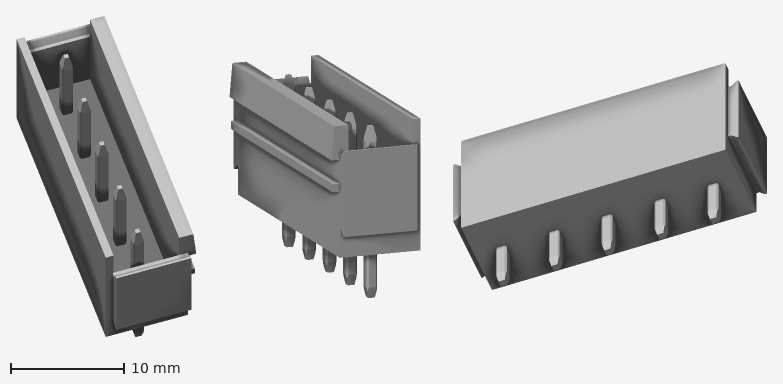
import cadquery as cq

overall_length = 27.0
overall_depth = 8.42
housing_height = 12.02
overall_height = 16.5

flange_thickness = 1.0
channel_length = overall_length - 2 * flange_thickness
front_wall = 0.73
back_wall = 0.8
back_face_y = 7.65
back_wall_inner_y = back_face_y - back_wall
floor_thickness = 3.0

lip_bottom_z = 8.95
lip_top_y = 8.15

rib_bottom_z = 6.02
rib_height = 0.73
rib_depth = 0.65

flange_front_y = 0.65
flange_bottom_z = 2.1
flange_top_z = 9.9
flange_edge = 0.2
flange_bevel = 0.49

pin_count = 5
pin_pitch = channel_length / pin_count
pin_y = 3.78
pin_width = 1.03
pin_corner = 0.15
pin_bottom_z = housing_height - overall_height
pin_top_z = 11.12
bottom_tip_width = 0.6
bottom_tip_length = 1.0
top_tip_width = 0.4
top_tip_length = 1.38

pin_places = [(i - (pin_count - 1) / 2) * pin_pitch for i in range(pin_count)]


def make_channel():
    """Floor, walls and latch lip, as one cross-section run along X."""
    outline = [
        (0, 0),
        (back_face_y, 0),
        (back_face_y, lip_bottom_z),
        (overall_depth, lip_bottom_z),
        (lip_top_y, housing_height),
        (back_wall_inner_y, housing_height),
        (back_wall_inner_y, floor_thickness),
        (front_wall, floor_thickness),
        (front_wall, housing_height),
        (0, housing_height),
    ]
    return cq.Workplane("YZ").polyline(outline).close().extrude(channel_length / 2, both=True)


def make_rib():
    """Plain rib along the whole back face."""
    base = cq.Workplane("XY", origin=(0, back_face_y, rib_bottom_z))
    return base.box(channel_length, rib_depth, rib_height, centered=(True, False, False))


def make_flange(side):
    """Dovetail end plate that closes the channel; side is -1 for the -X end and 1 for the +X end."""
    inner_x = side * channel_length / 2
    outer_x = side * overall_length / 2
    edge_x = outer_x - side * flange_edge
    neck_x = edge_x - side * flange_bevel
    outline = [
        (inner_x, flange_bottom_z + flange_bevel),
        (neck_x, flange_bottom_z + flange_bevel),
        (edge_x, flange_bottom_z),
        (outer_x, flange_bottom_z),
        (outer_x, flange_top_z),
        (edge_x, flange_top_z),
        (neck_x, flange_top_z - flange_bevel),
        (inner_x, flange_top_z - flange_bevel),
    ]
    flange_width = back_face_y - flange_front_y
    profile = cq.Workplane("XZ", origin=(0, flange_front_y, 0)).polyline(outline).close()
    return profile.extrude(-flange_width)


def make_pin(x):
    """Square pin with bevelled corners and a four-sided taper at each end."""
    length = pin_top_z - pin_bottom_z
    shank_top = pin_top_z - top_tip_length
    shank_bottom = pin_bottom_z + bottom_tip_length
    bar = (
        cq.Workplane("XY", origin=(x, pin_y, pin_bottom_z))
        .box(pin_width, pin_width, length, centered=(True, True, False))
        .edges("|Z")
        .chamfer(pin_corner)
    )
    envelope = (
        cq.Workplane("XY", origin=(x, pin_y, shank_bottom))
        .rect(pin_width, pin_width)
        .extrude(shank_top - shank_bottom)
    )
    for shank_end, tip_width, tip_rise in (
        (shank_bottom, bottom_tip_width, -bottom_tip_length),
        (shank_top, top_tip_width, top_tip_length),
    ):
        tip = (
            cq.Workplane("XY", origin=(x, pin_y, shank_end))
            .rect(pin_width, pin_width)
            .workplane(offset=tip_rise)
            .rect(tip_width, tip_width)
            .loft(ruled=True)
        )
        envelope = envelope.union(tip)
    return bar.intersect(envelope).solids()


pins = [make_pin(x) for x in pin_places]

housing = make_channel().union(make_rib())
for end in (-1, 1):
    housing = housing.union(make_flange(end))
for pin in pins:
    housing = housing.cut(pin)

result = cq.Compound.makeCompound([housing.solids().val(), *[pin.val() for pin in pins]])